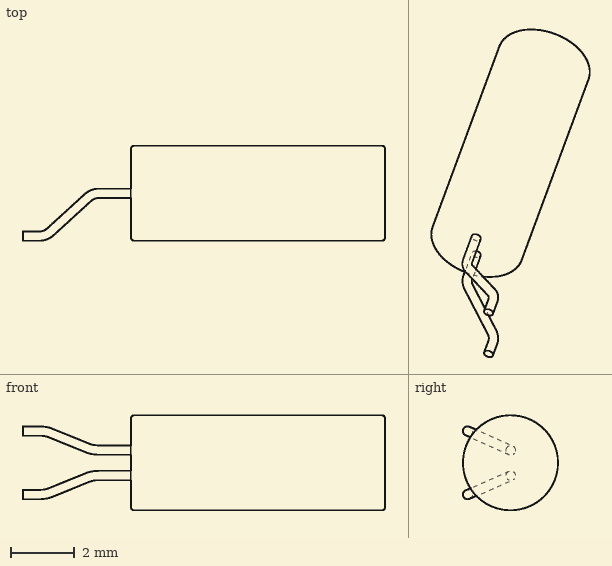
import cadquery as cq
import math

can_length = 8.0
can_diameter = 3.0
can_edge_radius = 0.1

lead_diameter = 0.3
lead_reach = 3.4
root_length = 1.0
bend_angle = math.radians(45)
bend_radius = 0.5
root_spacing = 0.8
foot_spacing = 2.0

foot_drop = (can_diameter - lead_diameter) / 2
foot_spread = (foot_spacing - root_spacing) / 2
foot_offset = math.hypot(foot_drop, foot_spread)


def make_can():
    can = cq.Workplane("YZ").circle(can_diameter / 2).extrude(can_length)
    return can.faces("<X or >X").edges().fillet(can_edge_radius)


def make_lead(side):
    """Bent wire on the +Z (side = 1) or -Z (side = -1) half of the lead face."""
    root_center = (0, 0, side * root_spacing / 2)

    bend_plane = cq.Plane(
        origin=root_center,
        xDir=(-1, 0, 0),
        normal=(0, side * foot_spread, foot_drop),
    )

    bend_run = bend_radius * math.sin(bend_angle)
    bend_rise = bend_radius * (1 - math.cos(bend_angle))
    half_run = bend_radius * math.sin(bend_angle / 2)
    half_rise = bend_radius * (1 - math.cos(bend_angle / 2))

    slope_rise = foot_offset - 2 * bend_rise
    slope_run = slope_rise / math.tan(bend_angle)
    foot_start = root_length + 2 * bend_run + slope_run

    path = (
        cq.Workplane(bend_plane)
        .moveTo(0, 0)
        .lineTo(root_length, 0)
        .threePointArc(
            (root_length + half_run, half_rise),
            (root_length + bend_run, bend_rise),
        )
        .lineTo(foot_start - bend_run, foot_offset - bend_rise)
        .threePointArc(
            (foot_start - half_run, foot_offset - half_rise),
            (foot_start, foot_offset),
        )
        .lineTo(lead_reach, foot_offset)
    )
    section = cq.Workplane("YZ", origin=root_center).circle(lead_diameter / 2)
    return section.sweep(path)


result = make_can()
for lead_side in (1, -1):
    result = result.union(make_lead(lead_side))